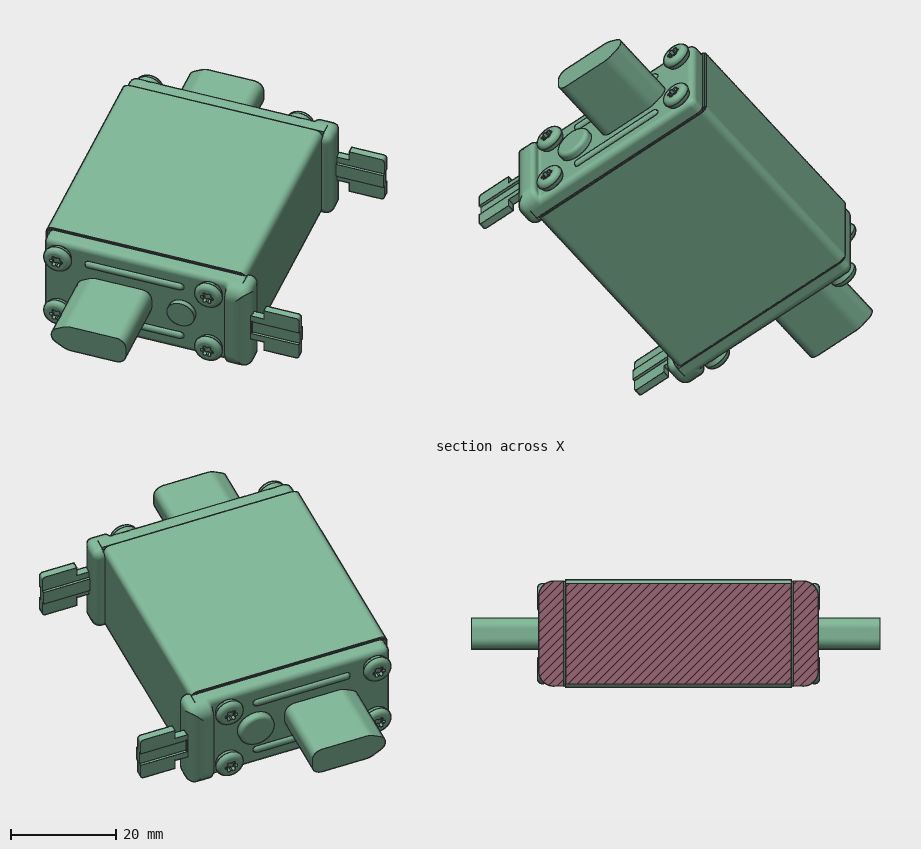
import cadquery as cq
import math


housing_width = 40.5
housing_height = 20.5
housing_half_length = 21.45
housing_corner = 1.5
plate_inset = 0.3
cap_base = 21.75

cap_face = 24.73
cap_left = -housing_width / 2 + 0.7
cap_right = housing_width / 2 + 0.1
cap_height = 20.05
cap_corner = 1.35
cap_edge_round = 1.25

blade_thickness = 6.0
blade_left = -12.8
blade_right = 2.25
blade_nose_radius = 2.0
blade_shoulder_radius = 3.0
blade_back_radius = 2.0
blade_taper_angle = 30.0
blade_front_end = -39.34
blade_back_end = 38.3

lug_left = 17.35
lug_right = 22.38
lug_top = 26.57
lug_tip = 20.2
lug_height = 20.0
lug_outer_round = 2.95
lug_inner_round = 0.9
lug_end_face_round = 2.9
lug_end_side_round = 1.6
lug_end_tip_round = 1.7
lug_foot_round = 0.5
tab_end = 31.95
tab_step = 24.85
tab_neck_height = 5.9
tab_height = 10.06
tab_corner = 0.7
tab_outer_face = 24.7
tab_thickness = 1.45
tab_crease_depth = 0.5
tab_crease_height = 3.05

screw_x_places = (-16.35, 14.1)
screw_z = 6.78
head_height = 2.07
head_rim_height = 0.95
head_radius = 2.77
head_foot_radius = 2.4
head_top_radius = 1.9
socket_depth = 1.0
socket_core_radius = 0.95
socket_lobe_radius = 0.33
socket_lobes = 6

rib_left = -11.2
rib_right = 8.8
rib_z = 6.2
rib_radius = 0.78
rib_rise = 0.7

indicator_x = 8.43
button_radius = 2.75
button_rise = 1.07
back_indicator_radius = 3.6
back_indicator_rise = 1.62
back_indicator_round = 0.75


def block(x_range, y_range, height):
    """Box over the given X and Y ranges, centred on Z = 0."""
    x_low, x_high = x_range
    y_low, y_high = y_range
    box = cq.Workplane("XY").box(x_high - x_low, y_high - y_low, height)
    return box.translate(((x_low + x_high) / 2, (y_low + y_high) / 2, 0))


def disc(radius, rise):
    """Round boss standing out of the -Y cap face at the indicator's place."""
    plane = cq.Workplane("XZ", origin=(indicator_x, -cap_face, 0))
    return plane.circle(radius).extrude(rise)


def mirrored(shape):
    """The same shape mirrored to the opposite side of Y = 0."""
    return shape.mirror("XZ")


def make_housing():
    half_width = housing_width / 2
    body = block((-half_width, half_width), (-housing_half_length, housing_half_length), housing_height)
    body = body.edges("|Y").fillet(housing_corner)
    plate_half_width = half_width - plate_inset
    plates = block((-plate_half_width, plate_half_width), (-cap_base, cap_base),
                   housing_height - 2 * plate_inset)
    return body.union(plates.edges("|Y").fillet(housing_corner - plate_inset))


def make_cap():
    cap = block((cap_left, cap_right), (-cap_face, -cap_base), cap_height)
    return cap.edges("|Y and <X").fillet(cap_corner).faces("<Y").edges().fillet(cap_edge_round)


def make_lug():
    profile = [
        (lug_left, -lug_top),
        (lug_right, -lug_top),
        (lug_right, -lug_tip),
        (cap_right, -lug_tip),
        (cap_right, -cap_base),
        (lug_left, -cap_base),
    ]
    lug = cq.Workplane("XY").polyline(profile).close().extrude(lug_height / 2, both=True)
    lug = lug.edges(cq.selectors.NearestToPointSelector((lug_right, -lug_top, 0))).fillet(lug_outer_round)
    bounds = block((lug_left, lug_right), (-lug_top, -lug_tip), lug_height)
    bounds = bounds.edges("|X and <Y").fillet(lug_end_face_round)
    bounds = bounds.edges("|X and >Y").fillet(lug_end_tip_round)
    bounds = bounds.faces("<X").edges().fillet(lug_inner_round)
    bounds = bounds.faces(">X").edges().fillet(lug_end_side_round)
    return lug.intersect(bounds)


def make_cap_with_lug():
    """Cap and gripping lug, blended by a hollow round along the foot of the lug."""
    foot = cq.selectors.NearestToPointSelector((lug_left, -cap_face, 0))
    return make_cap().union(make_lug()).edges(foot).fillet(lug_foot_round)


def make_tab():
    inner_face = tab_outer_face - tab_thickness
    y_range = (-tab_outer_face, -inner_face)
    neck = block((cap_right, tab_end), y_range, tab_neck_height)
    head = block((tab_step, tab_end), y_range, tab_height)
    head = head.edges("|Y and >X").fillet(tab_corner)
    crease_x = (lug_right, tab_end)
    groove = block(crease_x, (-tab_outer_face, -tab_outer_face + tab_crease_depth), tab_crease_height)
    ridge = block(crease_x, (-inner_face, -inner_face + tab_crease_depth), tab_crease_height)
    return neck.union(head).cut(groove).union(ridge)


def make_blade(length):
    """Flat blade with a tapered round nose on its -X edge, from the housing's end outward."""
    half = blade_thickness / 2
    taper = math.radians(blade_taper_angle)
    nose_x = blade_left + blade_nose_radius
    taper_x = nose_x - blade_nose_radius * math.sin(taper)
    taper_z = blade_nose_radius * math.cos(taper)
    shoulder_x = taper_x + (half - taper_z) / math.tan(taper)
    blade = (
        cq.Workplane("XZ", origin=(0, -cap_base, 0))
        .moveTo(taper_x, -taper_z)
        .threePointArc((blade_left, 0), (taper_x, taper_z))
        .lineTo(shoulder_x, half)
        .lineTo(blade_right, half)
        .lineTo(blade_right, -half)
        .lineTo(shoulder_x, -half)
        .close()
        .extrude(length - cap_base)
    )
    blade = blade.edges("|Y and >X").fillet(blade_back_radius)
    margin = 0.1
    shoulders = cq.selectors.BoxSelector(
        (shoulder_x - margin, -length, -half - margin), (shoulder_x + margin, 0, half + margin)
    )
    return blade.edges("|Y").edges(shoulders).fillet(blade_shoulder_radius)


def make_screw(x, z):
    """Button head with a six-lobed socket."""
    arc_mid_turn = math.sqrt(0.5)
    crown_width = head_radius - head_top_radius
    crown_height = head_height - head_rim_height
    crown_middle = (
        head_top_radius + crown_width * arc_mid_turn,
        head_rim_height + crown_height * arc_mid_turn,
    )
    head = (
        cq.Workplane("XY")
        .moveTo(0, 0)
        .lineTo(head_foot_radius, 0)
        .lineTo(head_radius, head_rim_height)
        .threePointArc(crown_middle, (head_top_radius, head_height))
        .lineTo(0, head_height)
        .close()
        .revolve(360, (0, 0, 0), (0, 1, 0))
    )
    floor = cq.Workplane("XZ", origin=(0, head_height - socket_depth, 0))
    socket = floor.circle(socket_core_radius).extrude(-socket_depth)
    lobes = floor.polarArray(socket_core_radius, 0, 360, socket_lobes).circle(socket_lobe_radius)
    socket = socket.union(lobes.extrude(-socket_depth))
    return mirrored(head.cut(socket)).translate((x, -cap_face, z))


def make_rib(z):
    """Half-sunk round bar with ball ends."""
    axis_y = -cap_face + rib_radius - rib_rise
    length = rib_right - rib_left - 2 * rib_radius
    left_x = rib_left + rib_radius
    rib = cq.Workplane("YZ", origin=(left_x, axis_y, z)).circle(rib_radius).extrude(length)
    for x in (left_x, left_x + length):
        rib = rib.union(cq.Workplane("XY").sphere(rib_radius).translate((x, axis_y, z)))
    return rib


def make_end():
    """Everything the two ends share, at the -Y end."""
    end = make_cap_with_lug().union(make_tab())
    for z in (-rib_z, rib_z):
        end = end.union(make_rib(z))
    for x in screw_x_places:
        for z in (-screw_z, screw_z):
            end = end.union(make_screw(x, z))
    return end


end = make_end()
button = disc(button_radius, button_rise)
back_indicator = disc(back_indicator_radius, back_indicator_rise)
back_indicator = back_indicator.faces("<Y").edges().fillet(back_indicator_round)

result = make_housing().union(end).union(mirrored(end))
result = result.union(make_blade(-blade_front_end)).union(mirrored(make_blade(blade_back_end)))
result = result.union(button).union(mirrored(back_indicator))